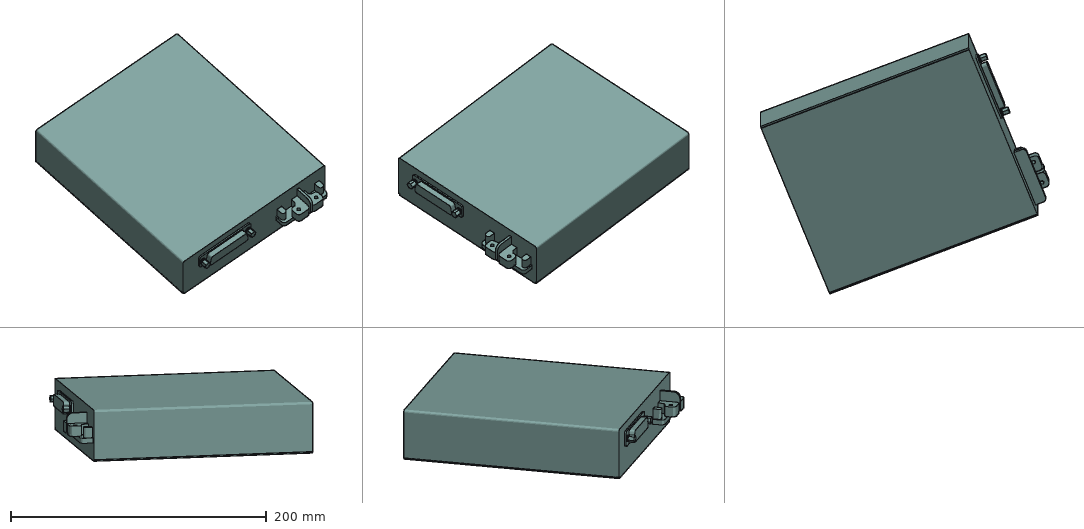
import cadquery as cq
import math

overall_length = 191.0
housing_length = 175.0
housing_width = 147.6
housing_height = 40.7
housing_top_radius = 2.1
rebate_depth = 1.3
rebate_height = 1.3

terminal_y = 45.8
terminal_reach = overall_length - housing_length
terminal_corner_radius = 3.0
terminal_bottom = 14.0
tab_bottom = 18.0
tab_top = 26.2
foot_reach = 9.5
foot_half_width = 23.1
tab_root_half_width = 6.9
tab_half_width = 13.5
tab_shoulder_reach = 6.3
tab_hole_diameter = 2.7
tab_hole_reach = 11.0
tab_hole_offset = 9.0
rib_offset = 19.5
rib_width = 4.8
rib_reach = 6.7
rib_corner_radius = 2.3
divider_thickness = 2.1
divider_bottom = 17.4
divider_top = 34.4
divider_top_radius = 5.0
divider_bottom_radius = 3.0

connector_y = -31.0
connector_z = 27.7
flange_thickness = 1.3
flange_face = housing_length + flange_thickness
flange_width = 53.1
flange_height = 12.6
flange_corner_radius = 2.1
shell_base_width = 40.1
shell_height = 9.5
shell_length = 4.8
shell_side_slope = 10.0
shell_corner_radius = 2.1
screw_pitch = 47.2
washer_diameter = 5.3
washer_thickness = 0.8
neck_diameter = 4.2
neck_length = 0.5
hex_across_flats = 5.0
hex_sides = 6
hex_length = 5.0
hex_turn = 10.0


def make_housing():
    """Case with rounded upper long edges and a small rebate along each lower long edge."""
    case = (
        cq.Workplane("XY")
        .box(housing_length, housing_width, housing_height, centered=(False, True, False))
        .edges("|X and >Z")
        .fillet(housing_top_radius)
    )
    rebates = (
        cq.Workplane("XY")
        .pushPoints([(housing_length / 2, side * housing_width / 2) for side in (1, -1)])
        .rect(housing_length, 2 * rebate_depth)
        .extrude(rebate_height)
    )
    return case.cut(rebates)


def terminal_block(reach, width, bottom, top):
    """Box standing out from X = 0 by reach, centred on Y = 0."""
    return (
        cq.Workplane("XY", origin=(0, 0, bottom))
        .box(reach, width, top - bottom, centered=(False, True, False))
    )


def make_foot():
    foot = terminal_block(foot_reach, 2 * foot_half_width, terminal_bottom, tab_bottom)
    return foot.edges("|Z and >X").fillet(terminal_corner_radius)


def make_tab():
    """L-shaped tab on the +Y side of the divider, with a hole through its wide end."""
    inner = divider_thickness / 2
    outline = [
        (0, inner),
        (terminal_reach, inner),
        (terminal_reach, tab_half_width),
        (tab_shoulder_reach, tab_half_width),
        (tab_shoulder_reach, tab_root_half_width),
        (0, tab_root_half_width),
    ]
    tab = (
        cq.Workplane("XY", origin=(0, 0, tab_bottom))
        .polyline(outline)
        .close()
        .extrude(tab_top - tab_bottom)
        .edges("|Z and (not <X)")
        .fillet(terminal_corner_radius)
    )
    hole = (
        cq.Workplane("XY", origin=(tab_hole_reach, tab_hole_offset, tab_bottom))
        .circle(tab_hole_diameter / 2)
        .extrude(tab_top - tab_bottom)
    )
    return tab.cut(hole)


def make_rib():
    """Round-ended rib beside the tab."""
    rib = terminal_block(rib_reach, rib_width, tab_bottom, tab_top)
    return rib.edges("|Z and >X").fillet(rib_corner_radius).translate((0, rib_offset, 0))


def make_divider():
    """Upright plate between the two tabs."""
    plate = terminal_block(terminal_reach, divider_thickness, divider_bottom, divider_top)
    plate = plate.edges("|Y and >X and >Z").fillet(divider_top_radius)
    return plate.edges("|Y and >X and <Z").fillet(divider_bottom_radius)


def make_terminal():
    half = make_tab().union(make_rib())
    terminal = make_foot().union(make_divider()).union(half).union(half.mirror("XZ"))
    return terminal.translate((housing_length, terminal_y, 0))


def connector_plane(x, y):
    """Workplane facing +X at height connector_z."""
    return cq.Workplane("YZ", origin=(x, y, connector_z))


def make_flange():
    return (
        connector_plane(housing_length, connector_y)
        .rect(flange_width, flange_height)
        .extrude(flange_thickness)
        .edges("|X")
        .fillet(flange_corner_radius)
    )


def make_shell():
    """D-shaped shell, wider at its base than at its top."""
    half_base = shell_base_width / 2
    half_top = half_base - shell_height * math.tan(math.radians(shell_side_slope))
    half_height = shell_height / 2
    outline = [
        (-half_base, -half_height),
        (half_base, -half_height),
        (half_top, half_height),
        (-half_top, half_height),
    ]
    return (
        connector_plane(flange_face, connector_y)
        .polyline(outline)
        .close()
        .extrude(shell_length)
        .edges("|X")
        .fillet(shell_corner_radius)
    )


def make_washer(y):
    return connector_plane(flange_face, y).circle(washer_diameter / 2).extrude(washer_thickness)


def make_jackscrew(y):
    """Hexagonal post on a short round neck."""
    neck_start = flange_face + washer_thickness
    neck = connector_plane(neck_start, y).circle(neck_diameter / 2).extrude(neck_length)
    across_corners = hex_across_flats / math.cos(math.pi / hex_sides)
    post = (
        connector_plane(neck_start + neck_length, y)
        .transformed(rotate=(0, 0, hex_turn))
        .polygon(hex_sides, across_corners)
        .extrude(hex_length)
    )
    return neck.union(post)


screw_places = [connector_y + side * screw_pitch / 2 for side in (1, -1)]

housing = make_housing()
terminal = make_terminal()
flange = make_flange()
shell = make_shell()
washers = [make_washer(y) for y in screw_places]
jackscrews = [make_jackscrew(y) for y in screw_places]

result = cq.Compound.makeCompound(
    [
        housing.val(),
        terminal.val(),
        flange.val(),
        shell.val(),
        *[washer.val() for washer in washers],
        *[jackscrew.val() for jackscrew in jackscrews],
    ]
)